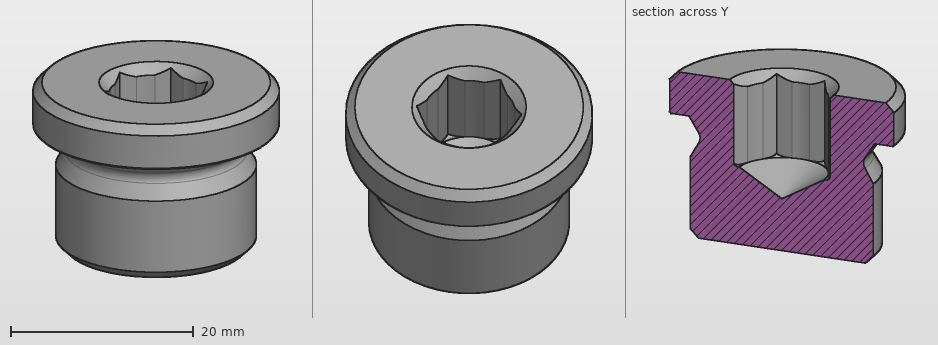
import cadquery as cq
import math

head_diameter = 27.0
head_height = 5.0
total_height = 19.0
edge_chamfer = 1.0
head_underside_chamfer = 0.2

shank_diameter = 22.0
groove_diameter = 19.7
groove_radius = 1.15
groove_lower_angle = math.radians(30)
groove_upper_angle = math.radians(33)
groove_centre_drop = 2.35

hex_sides = 6
hex_across_flats = 10.0
socket_depth = 10.0
socket_core_diameter = 11.6
socket_floor_fillet = 0.5
drill_diameter = 10.2
drill_tip_angle = math.radians(120)
countersink_diameter = 12.5
countersink_angle = math.radians(90)

head_radius = head_diameter / 2
shank_radius = shank_diameter / 2
underside_z = total_height - head_height


def make_body():
    """Revolve the half profile of the head, groove and shank about Z."""
    arc_centre_r = groove_diameter / 2 + groove_radius
    arc_centre_z = underside_z - groove_centre_drop

    def groove_arc_point(angle):
        return (
            arc_centre_r - groove_radius * math.cos(angle),
            arc_centre_z + groove_radius * math.sin(angle),
        )

    lower_r, lower_z = groove_arc_point(-groove_lower_angle)
    upper_r, upper_z = groove_arc_point(groove_upper_angle)
    shank_top_z = lower_z - (shank_radius - lower_r) / math.tan(groove_lower_angle)
    neck_radius = upper_r + (underside_z - upper_z) * math.tan(groove_upper_angle)

    return (
        cq.Workplane("XZ")
        .moveTo(0, 0)
        .lineTo(shank_radius - edge_chamfer, 0)
        .lineTo(shank_radius, edge_chamfer)
        .lineTo(shank_radius, shank_top_z)
        .lineTo(lower_r, lower_z)
        .threePointArc(groove_arc_point(0), (upper_r, upper_z))
        .lineTo(neck_radius, underside_z)
        .lineTo(head_radius - head_underside_chamfer, underside_z)
        .lineTo(head_radius, underside_z + head_underside_chamfer)
        .lineTo(head_radius, total_height - edge_chamfer)
        .lineTo(head_radius - edge_chamfer, total_height)
        .lineTo(0, total_height)
        .close()
        .revolve(360, (0, 0, 0), (0, 1, 0))
    )


def make_hex_socket():
    """Hexagonal pocket whose corners run into a rounded floor."""
    floor_z = total_height - socket_depth
    hex_across_corners = hex_across_flats / math.cos(math.pi / hex_sides)
    hexagon = (
        cq.Workplane("XY", origin=(0, 0, floor_z))
        .polygon(hex_sides, hex_across_corners)
        .extrude(socket_depth)
    )
    rounded_core = (
        cq.Workplane("XY", origin=(0, 0, floor_z))
        .circle(socket_core_diameter / 2)
        .extrude(socket_depth)
        .faces("<Z")
        .edges()
        .fillet(socket_floor_fillet)
    )
    return hexagon.intersect(rounded_core)


def make_drill_hole():
    """Pilot hole as deep as the socket, ending in a conical tip, with a countersunk mouth."""
    drill_radius = drill_diameter / 2
    shoulder_z = total_height - socket_depth
    tip_z = shoulder_z - drill_radius / math.tan(drill_tip_angle / 2)
    countersink_radius = countersink_diameter / 2
    countersink_depth = (countersink_radius - drill_radius) / math.tan(countersink_angle / 2)
    return (
        cq.Workplane("XZ")
        .moveTo(0, tip_z)
        .lineTo(drill_radius, shoulder_z)
        .lineTo(drill_radius, total_height - countersink_depth)
        .lineTo(countersink_radius, total_height)
        .lineTo(0, total_height)
        .close()
        .revolve(360, (0, 0, 0), (0, 1, 0))
    )


result = make_body().cut(make_hex_socket()).cut(make_drill_hole())